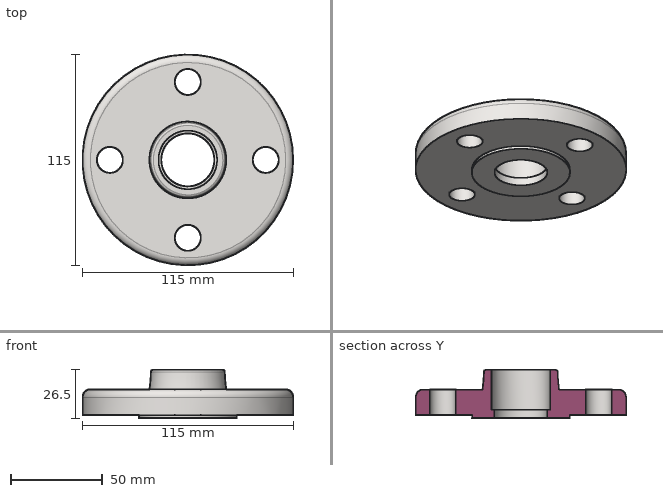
import cadquery as cq

flange_diameter = 115.0
flange_thickness = 14.0
flange_edge_radius = 4.3
face_diameter = 53.6
face_height = 1.7

total_height = 26.5
hub_base_diameter = 42.0
hub_middle_diameter = 40.8
hub_top_diameter = 40.4
hub_edge_radius = 1.3

socket_diameter = 32.0
bore_diameter = 28.8
lip_thickness = 4.6

bolt_hole_count = 4
bolt_hole_diameter = 14.0
bolt_circle_diameter = 85.0

flange_top = face_height + flange_thickness
hub_height = total_height - flange_top


def make_flange():
    """Disc with a rounded upper rim and a raised face underneath."""
    disc = (
        cq.Workplane("XY", origin=(0, 0, face_height))
        .circle(flange_diameter / 2)
        .extrude(flange_thickness)
        .faces(">Z")
        .edges()
        .fillet(flange_edge_radius)
    )
    raised_face = cq.Workplane("XY").circle(face_diameter / 2).extrude(face_height)
    return disc.union(raised_face)


def make_hub():
    """Hub with a concave side that flares toward the flange and a rounded top edge."""
    hub = (
        cq.Workplane("XZ", origin=(0, 0, flange_top))
        .lineTo(hub_base_diameter / 2, 0)
        .threePointArc(
            (hub_middle_diameter / 2, hub_height / 2),
            (hub_top_diameter / 2, hub_height),
        )
        .lineTo(0, hub_height)
        .close()
        .revolve(360, (0, 0), (0, 1))
    )
    return hub.faces(">Z").edges().fillet(hub_edge_radius)


def make_bore():
    """Cutter for the through bore and the wider socket above it."""
    bore = cq.Workplane("XY").circle(bore_diameter / 2).extrude(total_height)
    socket = (
        cq.Workplane("XY", origin=(0, 0, lip_thickness))
        .circle(socket_diameter / 2)
        .extrude(total_height - lip_thickness)
    )
    return bore.union(socket)


def make_bolt_holes():
    """Cutters for the bolt holes, on the X and Y axes."""
    return (
        cq.Workplane("XY")
        .polarArray(bolt_circle_diameter / 2, 0, 360, bolt_hole_count)
        .circle(bolt_hole_diameter / 2)
        .extrude(total_height)
    )


result = make_flange().union(make_hub()).cut(make_bore()).cut(make_bolt_holes())